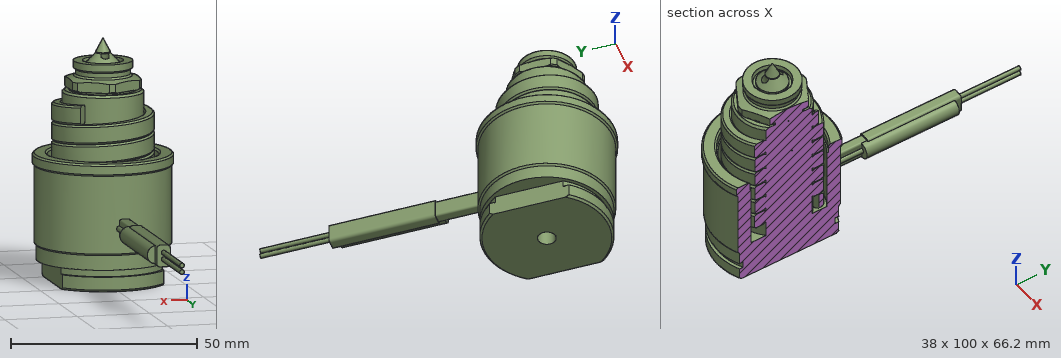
import cadquery as cq
import math

base_radius = 18.0
base_height = 4.1
base_chamfer = 0.6
groove_radius = 17.0
groove_top = 6.0
flat_distance = 14.0
ring_top = 10.0

housing_radius = 18.5
flange_radius = 19.0
edge_chamfer = 0.5
flange_bottom = 32.2
housing_top = 35.0
pocket_radius = 15.0
pocket_lower_radius = 14.6
pocket_floor = 12.0

sleeve_radius = 11.0
sleeve_top = 52.2
sleeve_chamfer = 0.6
neck_radius = 9.2
hex_bottom = 52.7
hex_top = 56.0
hex_flats = 19.0
hex_rotation = 30.0
hex_corner_radius = 10.5
hex_crown_height = 0.8
hex_base_chamfer = 0.3
collar_groove_radius = 7.4
collar_foot_chamfer = 0.5
foot_radius = collar_groove_radius + collar_foot_chamfer
collar_groove_top = 57.7
collar_bottom = 58.2
collar_radius = 8.0
collar_top = 60.1
collar_recess_radius = 5.5
collar_recess_floor = 59.0
collar_recess_taper = 0.3

part_height = 66.2
tip_radius = 2.0
torpedo_radius = 4.5
tip_bottom = 62.1
tip_rim = 0.3
channel_radius = 2.5
channel_top = 58.0
tip_hole_radius = 1.1
tip_hole_y = 2.3
tip_hole_z = 61.5
tip_hole_tilt = 16.0
tip_hole_length = 8.0

coil_radius = 13.8
coil_pitch = 5.3
coil_gap = 0.1
coil_chamfer = 0.5
coil_embed = 0.3
coil_turns = 6.0
coil_end_angle = 50.0
coil_end_top = 49.7

cable_x = -1.4
cable_z = 17.3
cable_width = 3.0
cable_height = 5.2
cable_corner = 0.6
cable_start = 15.2
jacket_wall = 0.4
jacket_start = 30.7
jacket_length = 30.2
wire_radius = 0.65
wire_spacing = 1.8
wire_end = 81.0
wire_overlap = 1.0
sensor_x = 0.1
sensor_tube_radius = 2.5
sensor_tube_start = 28.9
sensor_tube_length = 29.9
sensor_wire_radius = 0.8
sensor_wire_start = coil_radius


def revolve_profile(points):
    """Turn a closed (radius, z) outline around the Z axis."""
    return cq.Workplane("XZ").polyline(points).close().revolve(360, (0, 0), (0, 1))


def along_y(start_y):
    """Workplane facing +Y, with local x pointing along +X and local y along +Z."""
    return cq.Workplane(cq.Plane((0, start_y, 0), (1, 0, 0), (0, -1, 0)))


def rod(x, z, radius, start_y, length):
    return along_y(start_y).center(x, z).circle(radius).extrude(-length)


def rounded_bar(x, z, width, height, corner, start_y, length):
    bar = along_y(start_y).center(x, z).rect(width, height).extrude(-length)
    return bar.edges("|Y").fillet(corner)


def make_body():
    """Base, housing with pocket, and sleeve, neck and collar in one turned outline."""
    body = revolve_profile([
        (0, 0),
        (base_radius - base_chamfer, 0),
        (base_radius, base_chamfer),
        (base_radius, base_height),
        (groove_radius, base_height),
        (groove_radius, groove_top),
        (base_radius, groove_top),
        (base_radius, ring_top),
        (housing_radius, ring_top + edge_chamfer),
        (housing_radius, flange_bottom - edge_chamfer),
        (flange_radius, flange_bottom),
        (flange_radius, housing_top - edge_chamfer),
        (flange_radius - edge_chamfer, housing_top),
        (pocket_radius + edge_chamfer, housing_top),
        (pocket_radius, housing_top - edge_chamfer),
        (pocket_radius, flange_bottom),
        (pocket_lower_radius, flange_bottom),
        (pocket_lower_radius, pocket_floor),
        (sleeve_radius, pocket_floor),
        (sleeve_radius, sleeve_top - sleeve_chamfer),
        (sleeve_radius - sleeve_chamfer, sleeve_top),
        (neck_radius, sleeve_top),
        (neck_radius, hex_bottom),
        (foot_radius, hex_bottom),
        (foot_radius, hex_top),
        (collar_groove_radius, hex_top + collar_foot_chamfer),
        (collar_groove_radius, collar_groove_top),
        (collar_radius, collar_bottom),
        (collar_radius, collar_top),
        (collar_recess_radius, collar_top),
        (collar_recess_radius - collar_recess_taper, collar_recess_floor),
        (0, collar_recess_floor),
    ])
    for side in (-1, 1):
        flat_cut = (
            cq.Workplane("XY")
            .center(side * (flat_distance + base_radius / 2), 0)
            .rect(base_radius, 3 * base_radius)
            .extrude(groove_top)
        )
        body = body.cut(flat_cut)
    return body


def make_hexagon():
    """Hexagon with flats facing +X and -X, corners turned round and crowned."""
    prism = (
        cq.Workplane("XY", origin=(0, 0, hex_bottom))
        .polygon(6, hex_flats / math.cos(math.pi / 6))
        .extrude(hex_top - hex_bottom)
        .rotate((0, 0, 0), (0, 0, 1), hex_rotation)
    )
    envelope = revolve_profile([
        (0, hex_bottom),
        (hex_corner_radius - hex_base_chamfer, hex_bottom),
        (hex_corner_radius, hex_bottom + hex_base_chamfer),
        (hex_corner_radius, hex_top - hex_crown_height),
        (foot_radius, hex_top),
        (0, hex_top),
    ])
    return prism.intersect(envelope)


def make_torpedo():
    """Round stub with a 45-degree cone that carries the sharp tip."""
    cone_bottom = tip_bottom - (torpedo_radius - tip_radius)
    return revolve_profile([
        (0, collar_recess_floor),
        (torpedo_radius, collar_recess_floor),
        (torpedo_radius, cone_bottom),
        (tip_radius, tip_bottom),
        (0, tip_bottom),
    ])


def make_tip():
    """Sharp conical point above a short rim."""
    return revolve_profile([
        (0, tip_bottom),
        (tip_radius, tip_bottom),
        (tip_radius, tip_bottom + tip_rim),
        (0, part_height),
    ])


def make_tip_hole(side):
    """Slanted outlet on the +Y (1) or -Y (-1) side, leading down to the channel."""
    tilt = math.radians(tip_hole_tilt)
    axis = cq.Vector(0, side * math.sin(tilt), math.cos(tilt))
    start = cq.Vector(0, side * tip_hole_y, tip_hole_z) - axis * (tip_hole_length / 2)
    return cq.Workplane(cq.Solid.makeCylinder(tip_hole_radius, tip_hole_length, start, axis))


def make_coil():
    """Right-handed coil, chamfered on all edges and sunk slightly into the sleeve."""
    wire_height = coil_pitch - coil_gap
    rise = coil_turns * coil_pitch
    bottom = coil_end_top - wire_height - rise
    inner = sleeve_radius - coil_embed
    inner_step = coil_chamfer + coil_embed
    profile = cq.Workplane("XZ").polyline([
        (inner, bottom + inner_step),
        (sleeve_radius + coil_chamfer, bottom),
        (coil_radius - coil_chamfer, bottom),
        (coil_radius, bottom + coil_chamfer),
        (coil_radius, bottom + wire_height - coil_chamfer),
        (coil_radius - coil_chamfer, bottom + wire_height),
        (sleeve_radius + coil_chamfer, bottom + wire_height),
        (inner, bottom + wire_height - inner_step),
    ]).close()
    helix = cq.Wire.makeHelix(coil_pitch, rise, coil_radius, cq.Vector(0, 0, bottom))
    start_angle = coil_end_angle - 360 * coil_turns
    return profile.sweep(cq.Workplane(helix), isFrenet=True).rotate((0, 0, 0), (0, 0, 1), start_angle)


def make_cable():
    """Power cable in a thicker jacket, ending in two bare wires."""
    jacket_end = jacket_start + jacket_length
    cable = rounded_bar(
        cable_x, cable_z, cable_width, cable_height, cable_corner,
        cable_start, jacket_start + jacket_wall - cable_start,
    )
    jacket = rounded_bar(
        cable_x, cable_z, cable_width + 2 * jacket_wall, cable_height + 2 * jacket_wall,
        cable_corner + jacket_wall, jacket_start, jacket_length,
    )
    cable = cable.union(jacket)
    wire_start = jacket_end - wire_overlap
    for side in (-1, 1):
        wire_z = cable_z + side * wire_spacing / 2
        cable = cable.union(rod(cable_x, wire_z, wire_radius, wire_start, wire_end - wire_start))
    return cable


def make_sensor():
    """Thin sensor wire leading to a round tube beside the cable jacket."""
    wire_length = sensor_tube_start + sensor_wire_radius - sensor_wire_start
    wire = rod(sensor_x, cable_z, sensor_wire_radius, sensor_wire_start, wire_length)
    tube = rod(sensor_x, cable_z, sensor_tube_radius, sensor_tube_start, sensor_tube_length)
    return wire.union(tube)


nozzle = make_body().union(make_hexagon()).union(make_torpedo())
melt_channel = cq.Workplane("XY").circle(channel_radius).extrude(channel_top)
nozzle = nozzle.cut(melt_channel)
for hole_side in (-1, 1):
    nozzle = nozzle.cut(make_tip_hole(hole_side))
nozzle = nozzle.union(make_tip()).union(make_coil())
result = nozzle.union(make_cable()).union(make_sensor())